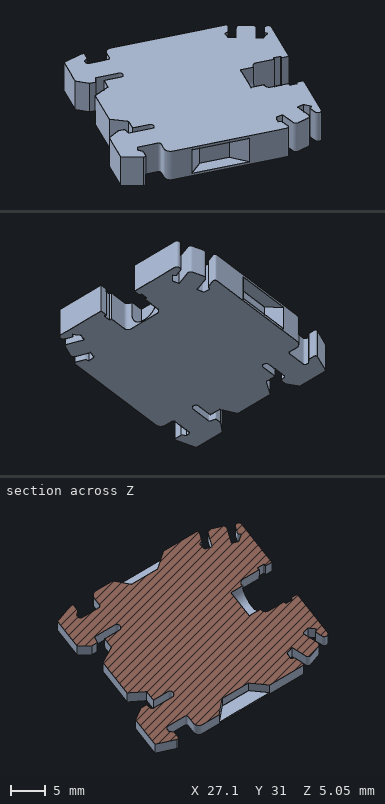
import cadquery as cq
import math

WIDTH = 27.09
LENGTH = 31.0
THICKNESS = 5.05
HALF_WIDTH = WIDTH / 2
TOP = LENGTH / 2
BOTTOM = -LENGTH / 2


SLOT_HALF_WIDTH = 3.185
SLOT_DEPTH = 5.71
SLOT_CORNER_RADIUS = 0.7
NOTCH_DEPTH = 0.37
NOTCH_START = 1.16
NOTCH_END = 2.23

GROOVE_RADIUS = 2.3
GROOVE_LENGTH = 2.0
GROOVE_AXIS_Z = THICKNESS / 2

LUG_TILT = math.radians(20)
LUG_ROOT_X = 9.1
LUG_ROOT_DEPTH = 3.0
LUG_LENGTH = 3.07
LUG_WIDTH = 2.89
LUG_LOWER_LENGTH = 2.95
LUG_RADIUS = 0.55
LIP_X = 11.41
LIP_THICKNESS = 0.92
LIP_RADIUS = 0.5
CLIP_RADIUS = 0.2
UPPER_CLIP_EDGE = (9.88, 1.46)
UPPER_CLIP_TOP = (9.57, 1.06)
UPPER_CLIP_BACK = (8.78, 1.99)
LOWER_CLIP_BACK = (10.5, 6.74)
LOWER_CLIP_BOTTOM = (11.55, 6.83)
LOWER_CLIP_EDGE = (11.75, 6.3)
SIDE_TOP_DEPTH = 5.65
SIDE_TOP_RADIUS = 0.35

BODY_HEIGHT = 6.52
BODY_RADIUS = 1.0
NECK_OUTER_X = 10.97
NECK_INNER_X = 7.25
FOOT_INNER_X = 6.22
FOOT_TOP = 3.485
FOOT_FLANK_TOP = 3.1
FOOT_RADIUS = 0.2
HOOK_FLOOR = 2.92
HOOK_FLOOR_X = 11.7
HOOK_TOP_X = 12.23
SOLE_OUTER_X = 12.42
SOLE_INNER_X = 7.44
TOE_BOTTOM = 1.76
TOE_TOP = 2.77
TOE_ROOT = 3.0
NECK_RADIUS = 0.35
SPRING_SLOT_TOP = 6.99
SPRING_SLOT_RADIUS = 0.48
SHELF_HEIGHT = 3.95
KEEL_HEIGHT = 1.51
KEEL_TOP_X = 4.5
KEEL_BOTTOM_X = 3.1

FUNNEL_WALL = 0.47
FUNNEL_DEPTH = 2.0
FUNNEL_MOUTH = (11.85, 20.6)
FUNNEL_FLOOR = (14.19, 18.72)


def sharp(x, y):
    """Corner of the outline that is not rounded."""
    return (x, y, 0.0)


def below_top(corner):
    """Position of a corner given as (X, depth)."""
    return (corner[0], TOP - corner[1])


def lug_point(along, across):
    """Point on the lug: outwards from its upper root, then across towards its lower flank."""
    x = LUG_ROOT_X + along * math.cos(LUG_TILT) + across * math.sin(LUG_TILT)
    y = TOP - LUG_ROOT_DEPTH + along * math.sin(LUG_TILT) - across * math.cos(LUG_TILT)
    return (x, y)


def slot_points():
    """From the centre line along the slot floor and up its wall to the top edge."""
    notch_x = SLOT_HALF_WIDTH + NOTCH_DEPTH
    return [
        sharp(0, TOP - SLOT_DEPTH),
        (SLOT_HALF_WIDTH, TOP - SLOT_DEPTH, SLOT_CORNER_RADIUS),
        sharp(SLOT_HALF_WIDTH, TOP - NOTCH_END),
        sharp(notch_x, TOP - NOTCH_END),
        sharp(notch_x, TOP - NOTCH_START),
        sharp(SLOT_HALF_WIDTH, TOP - NOTCH_START),
        sharp(SLOT_HALF_WIDTH, TOP),
    ]


def shoulder_points():
    """Head lip, tilted marker lug and the clip recesses either side of it."""
    lug_tip_upper = lug_point(LUG_LENGTH, 0)
    lug_tip_lower = lug_point(LUG_LENGTH, LUG_WIDTH)
    lug_root_lower = lug_point(LUG_LENGTH - LUG_LOWER_LENGTH, LUG_WIDTH)
    return [
        (LIP_X, TOP, LIP_RADIUS),
        (LIP_X, TOP - LIP_THICKNESS, LIP_RADIUS),
        (*below_top(UPPER_CLIP_EDGE), CLIP_RADIUS),
        sharp(*below_top(UPPER_CLIP_TOP)),
        sharp(*below_top(UPPER_CLIP_BACK)),
        sharp(LUG_ROOT_X, TOP - LUG_ROOT_DEPTH),
        (*lug_tip_upper, LUG_RADIUS),
        (*lug_tip_lower, LUG_RADIUS),
        sharp(*lug_root_lower),
        (*below_top(LOWER_CLIP_BACK), CLIP_RADIUS),
        sharp(*below_top(LOWER_CLIP_BOTTOM)),
        (*below_top(LOWER_CLIP_EDGE), CLIP_RADIUS),
        (HALF_WIDTH, TOP - SIDE_TOP_DEPTH, SIDE_TOP_RADIUS),
    ]


def foot_points():
    """Lower body corner, hooked rail foot, spring slot and central keel."""
    return [
        (HALF_WIDTH, BOTTOM + BODY_HEIGHT, BODY_RADIUS),
        (NECK_OUTER_X, BOTTOM + BODY_HEIGHT, NECK_RADIUS),
        (NECK_OUTER_X, BOTTOM + HOOK_FLOOR, NECK_RADIUS),
        sharp(HOOK_FLOOR_X, BOTTOM + HOOK_FLOOR),
        sharp(HOOK_TOP_X, BOTTOM + FOOT_TOP),
        (HALF_WIDTH, BOTTOM + FOOT_TOP, FOOT_RADIUS),
        sharp(HALF_WIDTH, BOTTOM + FOOT_FLANK_TOP),
        sharp(SOLE_OUTER_X, BOTTOM),
        sharp(SOLE_INNER_X, BOTTOM),
        sharp(FOOT_INNER_X, BOTTOM + TOE_BOTTOM),
        (FOOT_INNER_X, BOTTOM + TOE_TOP, FOOT_RADIUS),
        (NECK_INNER_X, BOTTOM + TOE_ROOT, FOOT_RADIUS),
        (NECK_INNER_X, BOTTOM + SPRING_SLOT_TOP, SPRING_SLOT_RADIUS),
        (FOOT_INNER_X, BOTTOM + SPRING_SLOT_TOP, SPRING_SLOT_RADIUS),
        sharp(FOOT_INNER_X, BOTTOM + SHELF_HEIGHT),
        sharp(KEEL_TOP_X, BOTTOM + SHELF_HEIGHT),
        sharp(KEEL_BOTTOM_X, BOTTOM + KEEL_HEIGHT),
        sharp(0, BOTTOM + KEEL_HEIGHT),
    ]


def rounded_outline(corners):
    """Closed outline through (x, y, radius) corners, each rounded by a tangent arc."""
    first = corners[0]
    outline = cq.Workplane("XY").moveTo(first[0], first[1])
    for before, corner, after in zip(corners, corners[1:], corners[2:] + [first]):
        point = cq.Vector(corner[0], corner[1])
        radius = corner[2]
        if radius == 0:
            outline = outline.lineTo(point.x, point.y)
            continue
        back = (cq.Vector(before[0], before[1]) - point).normalized()
        ahead = (cq.Vector(after[0], after[1]) - point).normalized()
        half_angle = back.getAngle(ahead) / 2
        setback = radius / math.tan(half_angle)
        bulge = radius / math.sin(half_angle) - radius
        start = point + back * setback
        middle = point + (back + ahead).normalized() * bulge
        end = point + ahead * setback
        outline = outline.lineTo(start.x, start.y)
        outline = outline.threePointArc((middle.x, middle.y), (end.x, end.y))
    return outline.close()


def make_body():
    corners = slot_points() + shoulder_points() + foot_points()
    half = rounded_outline(corners).extrude(THICKNESS)
    return half.union(half.mirror("YZ")).clean()


def make_groove():
    """U-shaped cutter running along -Y from the slot floor: round below, straight walls above."""
    slot_floor = TOP - SLOT_DEPTH
    wall_height = THICKNESS - GROOVE_AXIS_Z
    return (
        cq.Workplane("XZ", origin=(0, slot_floor, GROOVE_AXIS_Z))
        .moveTo(-GROOVE_RADIUS, wall_height)
        .lineTo(-GROOVE_RADIUS, 0)
        .threePointArc((0, -GROOVE_RADIUS), (GROOVE_RADIUS, 0))
        .lineTo(GROOVE_RADIUS, wall_height)
        .close()
        .extrude(GROOVE_LENGTH)
    )


def make_funnel():
    """Tapered wire entry cut into the -X side face."""
    floor_x = -HALF_WIDTH + FUNNEL_DEPTH
    return (
        cq.Workplane("XY", origin=(0, 0, FUNNEL_WALL))
        .moveTo(-HALF_WIDTH, TOP - FUNNEL_MOUTH[0])
        .lineTo(floor_x, TOP - FUNNEL_FLOOR[0])
        .lineTo(floor_x, TOP - FUNNEL_FLOOR[1])
        .lineTo(-HALF_WIDTH, TOP - FUNNEL_MOUTH[1])
        .close()
        .extrude(THICKNESS - 2 * FUNNEL_WALL)
    )


funnel = make_funnel()
result = make_body().cut(make_groove()).cut(funnel).cut(funnel.mirror("YZ"))